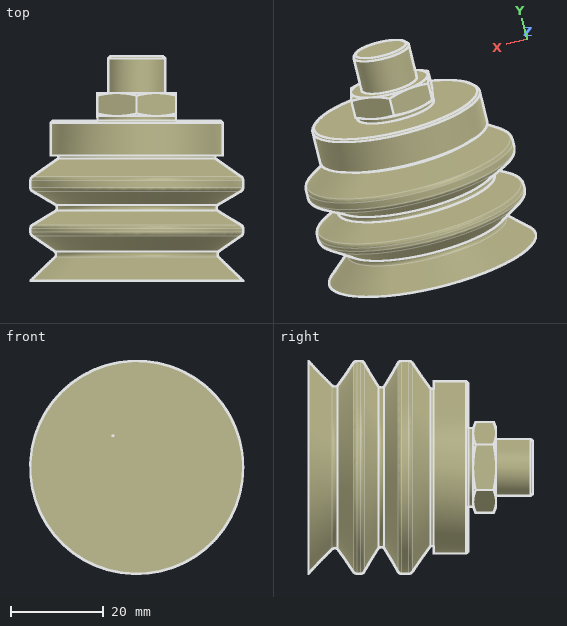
import cadquery as cq
import math


lip_groove_start = 5.15
lip_groove_end = 6.3
front_ridge_start = 10.0
front_ridge_end = 11.8
middle_groove_start = 15.15
middle_groove_end = 16.35
rear_ridge_start = 19.6
rear_ridge_end = 22.15
neck_start = 26.4
flange_start = 27.0
flange_end = 34.55
nut_start = 35.55
nut_end = 40.5
stud_end = 48.5

bellows_diameter = 46.0
lip_groove_diameter = 35.3
middle_groove_diameter = 34.9
groove_depth = 0.2
neck_diameter = 34.0
ridge_fillet = 0.95
flange_diameter = 37.2
flange_chamfer = 0.5
collar_diameter = 17.0
stud_diameter = 12.3
stud_chamfer = 0.55
nut_across_flats = collar_diameter
nut_across_corners = nut_across_flats / math.cos(math.radians(30))
nut_chamfer_height = 0.55


def cylinder(diameter, start, end):
    """Solid cylinder about the Y axis, from one station to another."""
    plane = cq.Workplane("XZ", origin=(0, start, 0))
    return plane.circle(diameter / 2).extrude(start - end)


def make_bellows():
    """Flared lip and two rounded ridges separated by shallow-floored grooves."""
    ridge_radius = bellows_diameter / 2
    lip_groove_radius = lip_groove_diameter / 2
    middle_groove_radius = middle_groove_diameter / 2
    lip_groove_middle = (lip_groove_start + lip_groove_end) / 2
    middle_groove_middle = (middle_groove_start + middle_groove_end) / 2
    body = (
        cq.Workplane("XY")
        .lineTo(ridge_radius, 0)
        .lineTo(lip_groove_radius, lip_groove_start)
        .threePointArc(
            (lip_groove_radius - groove_depth, lip_groove_middle),
            (lip_groove_radius, lip_groove_end),
        )
        .lineTo(ridge_radius, front_ridge_start)
        .lineTo(ridge_radius, front_ridge_end)
        .lineTo(middle_groove_radius, middle_groove_start)
        .threePointArc(
            (middle_groove_radius - groove_depth, middle_groove_middle),
            (middle_groove_radius, middle_groove_end),
        )
        .lineTo(ridge_radius, rear_ridge_start)
        .lineTo(ridge_radius, rear_ridge_end)
        .lineTo(neck_diameter / 2, neck_start)
        .lineTo(neck_diameter / 2, flange_start)
        .lineTo(0, flange_start)
        .close()
        .revolve(360, (0, 0, 0), (0, 1, 0))
    )
    for station in (front_ridge_start, front_ridge_end, rear_ridge_start, rear_ridge_end):
        margin = 0.05
        ridge_edge = cq.selectors.BoxSelector(
            (-bellows_diameter, station - margin, -bellows_diameter),
            (bellows_diameter, station + margin, bellows_diameter),
            boundingbox=True,
        )
        body = body.edges(ridge_edge).fillet(ridge_fillet)
    return body


def make_nut():
    """Hexagon with corners on +Z and -Z, its corners bevelled at both ends."""
    hexagon = (
        cq.Workplane("XZ", origin=(0, nut_start, 0))
        .transformed(rotate=(0, 0, 90))
        .polygon(6, nut_across_corners)
        .extrude(nut_start - nut_end)
    )
    corner_radius = nut_across_corners / 2
    flat_radius = nut_across_flats / 2
    bevel_envelope = (
        cq.Workplane("XY")
        .moveTo(0, nut_start)
        .lineTo(flat_radius, nut_start)
        .lineTo(corner_radius, nut_start + nut_chamfer_height)
        .lineTo(corner_radius, nut_end - nut_chamfer_height)
        .lineTo(flat_radius, nut_end)
        .lineTo(0, nut_end)
        .close()
        .revolve(360, (0, 0, 0), (0, 1, 0))
    )
    return hexagon.intersect(bevel_envelope)


flange = cylinder(flange_diameter, flange_start, flange_end).faces(">Y").chamfer(flange_chamfer)
collar = cylinder(collar_diameter, flange_end, nut_start)
stud = cylinder(stud_diameter, nut_end, stud_end).faces(">Y").chamfer(stud_chamfer)

result = make_bellows().union(flange).union(collar).union(make_nut()).union(stud)